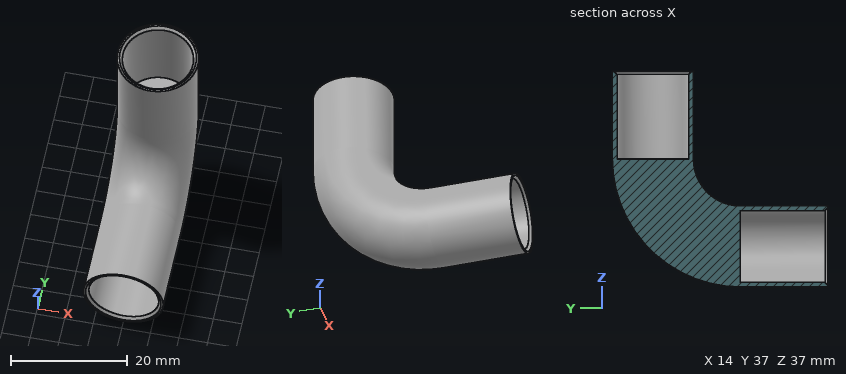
import cadquery as cq

overall_length = 37.0
pipe_diameter = 14.0
leg_length = 15.0
bore_diameter = 12.2
mouth_diameter = 13.2

bevel_depth = (mouth_diameter - bore_diameter) / 2
bore_depth = leg_length
pipe_radius = pipe_diameter / 2
bend_radius = overall_length - pipe_radius - leg_length
leg_end = bend_radius + leg_length

front_mouth = cq.Plane(origin=(0, -leg_end, 0), xDir=(1, 0, 0), normal=(0, 1, 0))
top_mouth = cq.Plane(origin=(0, 0, leg_end), xDir=(1, 0, 0), normal=(0, 0, -1))


def make_elbow():
    """Solid round bar: straight leg, quarter bend, straight leg."""
    front_leg = cq.Workplane(front_mouth).circle(pipe_radius).extrude(leg_length)
    top_leg = cq.Workplane(top_mouth).circle(pipe_radius).extrude(leg_length)
    bend_start = cq.Plane(origin=(0, -bend_radius, 0), xDir=(1, 0, 0), normal=(0, 1, 0))
    bend = (
        cq.Workplane(bend_start)
        .circle(pipe_radius)
        .revolve(90, (0, -bend_radius, 0), (1, -bend_radius, 0))
    )
    return front_leg.union(bend).union(top_leg)


def make_bore(mouth):
    """Flat-bottomed bore with a bevelled mouth, running inward from the given plane."""
    bore = cq.Workplane(mouth).circle(bore_diameter / 2).extrude(bore_depth)
    bevel = (
        cq.Workplane(mouth)
        .circle(mouth_diameter / 2)
        .workplane(offset=bevel_depth)
        .circle(bore_diameter / 2)
        .loft(ruled=True)
    )
    return bore.union(bevel)


result = make_elbow()
for mouth in (front_mouth, top_mouth):
    result = result.cut(make_bore(mouth))